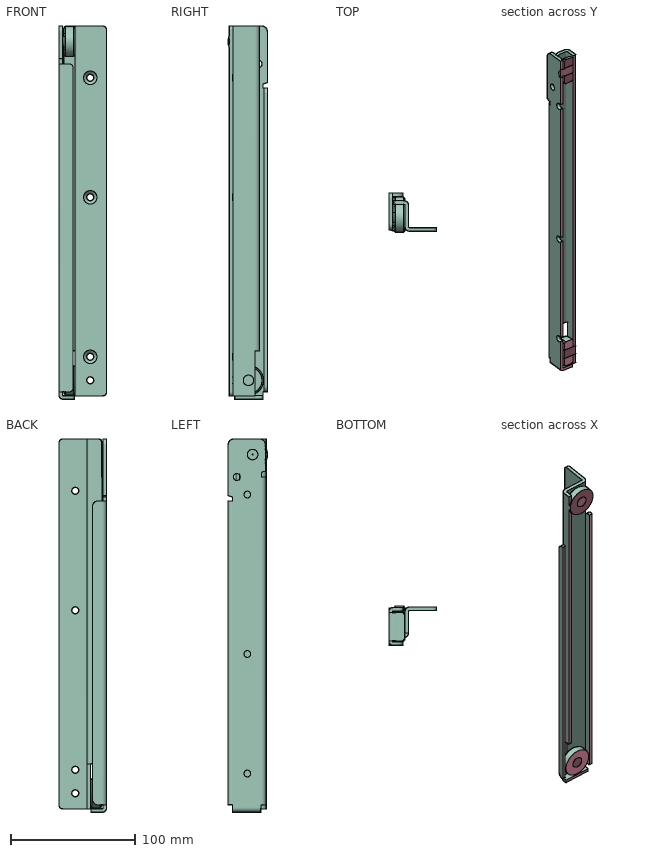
import cadquery as cq

LENGTH = 300.0
SHEET = 3.0
BEND = 3.5
INNER_BEND = BEND - SHEET
HOLE_RADIUS = 2.7
OVERSHOOT = 3.0

CHANNEL_FRONT = 1.2
CHANNEL_BACK = 31.8
FLANGE_REACH = 11.5
FRONT_FLANGE_CORNER = 3.0
BACK_FLANGE_CORNER = 4.5
FLANGE_BOTTOM = 6.0
FRONT_FLANGE_TOP = 269.5
BACK_FLANGE_TOP = 250.2
WEB_HEAD_FRONT = 1.8
WEB_CORNER = 4.8
FRONT_RELIEF_HEIGHT = 4.5
BACK_RELIEF_HEIGHT = 3.5
FRONT_RELIEF_Y = 4.8
FRONT_RELIEF_CORNER = 1.8
BACK_RELIEF_Y = 28.2
BACK_RELIEF_FLARE = 1.2
TAB_FRONT = 5.5
TAB_BACK = 28.2
TAB_REACH = 12.5
TAB_CORNER = 2.5
WEB_HOLE_Y = 16.2
WEB_HOLE_ZS = (31.2, 127.2, 255.3)
GAUGE_HOLE_YZ = (24.5, 269.5)

ANGLE_FRONT = 1.0
ANGLE_BACK = 25.5
ANGLE_BOTTOM = 2.7
ANGLE_WEB_X = 13.0
ANGLE_RIGHT = 38.5
ANGLE_CORNER = 3.0
GUIDE_EDGE_X = 4.0
GUIDE_CORNER = 2.5
GUIDE_BOTTOM = 39.0
SCREW_X = 25.2
SCREW_ZS = (34.2, 162.3, 258.3)
COUNTERSINK_RADIUS = 5.5
PIN_HOLE_Z = 15.3

ROLLER_RADIUS = 12.0
ROLLER_BEVEL = 1.2
AXLE_RADIUS = 4.2
CENTER_MARK_RADIUS = 0.3
CENTER_MARK_DEPTH = 0.5
ROLLER_LEFT = 4.2
UPPER_ROLLER_YZ = (ROLLER_RADIUS, 287.5)
LOWER_ROLLER_YZ = (16.5, PIN_HOLE_Z)
RELIEF_CLEARANCE = 0.3


def box(x0, x1, y0, y1, z0, z1):
    return cq.Workplane("XY").box(x1 - x0, y1 - y0, z1 - z0, centered=False).translate((x0, y0, z0))


def x_cylinder(radius, y, z, x0, x1):
    return cq.Workplane("YZ", origin=(x0, 0, 0)).center(y, z).circle(radius).extrude(x1 - x0)


def bent_flange(outer_y, inward, z0, z1, corner_radius):
    """Channel flange with its bend; `inward` is the Y direction towards the channel middle."""
    web_y = outer_y + inward * BEND
    inner_y = outer_y + inward * SHEET
    flange = (
        cq.Workplane("XY", origin=(0, 0, z0))
        .moveTo(0, web_y)
        .radiusArc((BEND, outer_y), -inward * BEND)
        .lineTo(FLANGE_REACH, outer_y)
        .lineTo(FLANGE_REACH, inner_y)
        .lineTo(BEND, inner_y)
        .radiusArc((SHEET, web_y), inward * INNER_BEND)
        .close()
        .extrude(z1 - z0)
    )
    return flange.edges("|Y and >X").fillet(corner_radius)


def channel_web():
    """Flat web: wide head above the flanges, narrower between the bends and at the end tab."""
    body_front = CHANNEL_FRONT + BEND
    head = box(0, SHEET, WEB_HEAD_FRONT, CHANNEL_BACK, BACK_FLANGE_TOP, LENGTH)
    head = head.edges("|X and >Z").fillet(WEB_CORNER)
    head = head.cut(box(0, SHEET, 0, body_front, 0, FRONT_FLANGE_TOP))
    body_back = CHANNEL_BACK - BEND
    body = box(0, SHEET, body_front, body_back, FLANGE_BOTTOM, BACK_FLANGE_TOP)
    foot = box(0, SHEET, TAB_FRONT, TAB_BACK, BEND, FLANGE_BOTTOM)
    return head.union(body).union(foot)


def end_tab():
    """Tab bent across the lower end of the channel."""
    tab = (
        cq.Workplane("XZ", origin=(0, TAB_BACK, 0))
        .moveTo(0, BEND)
        .radiusArc((BEND, 0), -BEND)
        .lineTo(TAB_REACH, 0)
        .lineTo(TAB_REACH, SHEET)
        .lineTo(BEND, SHEET)
        .radiusArc((SHEET, BEND), INNER_BEND)
        .close()
        .extrude(TAB_BACK - TAB_FRONT)
    )
    return tab.edges("|Z and >X").fillet(TAB_CORNER)


def front_relief():
    """Notch that separates the web head from the front flange, rounded at its inner upper corner."""
    z0 = FRONT_FLANGE_TOP
    z1 = FRONT_FLANGE_TOP + FRONT_RELIEF_HEIGHT
    relief = box(-OVERSHOOT, BEND, -OVERSHOOT, FRONT_RELIEF_Y, z0, z1)
    return relief.edges("|X and >Y and >Z").fillet(FRONT_RELIEF_CORNER)


def back_relief():
    """Notch that separates the web head from the back flange, flared at its mouth."""
    z0 = BACK_FLANGE_TOP
    z1 = BACK_FLANGE_TOP + BACK_RELIEF_HEIGHT
    return (
        cq.Workplane("YZ", origin=(-OVERSHOOT, 0, 0))
        .moveTo(BACK_RELIEF_Y, z0)
        .lineTo(CHANNEL_BACK, z0)
        .lineTo(CHANNEL_BACK, z1 + BACK_RELIEF_FLARE / 2)
        .lineTo(BACK_RELIEF_Y, z1 - BACK_RELIEF_FLARE / 2)
        .close()
        .extrude(SHEET + 2 * OVERSHOOT)
    )


def make_channel():
    """Channel rail with its web holes and the hole of the upper axle."""
    front_flange = bent_flange(CHANNEL_FRONT, 1, FLANGE_BOTTOM, FRONT_FLANGE_TOP, FRONT_FLANGE_CORNER)
    back_flange = bent_flange(CHANNEL_BACK, -1, FLANGE_BOTTOM, BACK_FLANGE_TOP, BACK_FLANGE_CORNER)
    channel = channel_web().union(front_flange).union(back_flange).union(end_tab())
    channel = channel.cut(front_relief()).cut(back_relief())
    holes = [(WEB_HOLE_Y, z) for z in WEB_HOLE_ZS] + [GAUGE_HOLE_YZ]
    for y, z in holes:
        channel = channel.cut(x_cylinder(HOLE_RADIUS, y, z, -OVERSHOOT, SHEET + OVERSHOOT))
    return channel.cut(x_cylinder(AXLE_RADIUS, *UPPER_ROLLER_YZ, -OVERSHOOT, SHEET + OVERSHOOT))


def guide_flange():
    """Flange at the +Y end of the angle web, bent towards -X and relieved around the upper roller."""
    web_right = ANGLE_WEB_X + SHEET
    bend_x = web_right - BEND
    bend_y = ANGLE_BACK - BEND
    inner_y = ANGLE_BACK - SHEET
    flange = (
        cq.Workplane("XY", origin=(0, 0, GUIDE_BOTTOM))
        .moveTo(web_right, bend_y)
        .radiusArc((bend_x, ANGLE_BACK), -BEND)
        .lineTo(GUIDE_EDGE_X, ANGLE_BACK)
        .lineTo(GUIDE_EDGE_X, inner_y)
        .lineTo(bend_x, inner_y)
        .radiusArc((ANGLE_WEB_X, bend_y), INNER_BEND)
        .close()
        .extrude(LENGTH - GUIDE_BOTTOM)
    )
    flange = flange.edges("|Y and <X").fillet(GUIDE_CORNER)
    relief_radius = ROLLER_RADIUS + RELIEF_CLEARANCE
    return flange.cut(x_cylinder(relief_radius, *UPPER_ROLLER_YZ, 0, ANGLE_WEB_X))


def mounting_flange():
    """Flange at the -Y end of the angle web, bent towards +X, with screw and pin holes."""
    bend_x = ANGLE_WEB_X + BEND
    bend_y = ANGLE_FRONT + BEND
    inner_y = ANGLE_FRONT + SHEET
    flange = (
        cq.Workplane("XY", origin=(0, 0, ANGLE_BOTTOM))
        .moveTo(ANGLE_WEB_X, bend_y)
        .radiusArc((bend_x, ANGLE_FRONT), -BEND)
        .lineTo(ANGLE_RIGHT, ANGLE_FRONT)
        .lineTo(ANGLE_RIGHT, inner_y)
        .lineTo(bend_x, inner_y)
        .radiusArc((ANGLE_WEB_X + SHEET, bend_y), INNER_BEND)
        .close()
        .extrude(LENGTH - ANGLE_BOTTOM)
    )
    flange = flange.edges("|Y and >X").fillet(ANGLE_CORNER)
    front_face = cq.Workplane("XZ", origin=(0, ANGLE_FRONT, 0))
    bores = front_face.pushPoints([(SCREW_X, z) for z in (PIN_HOLE_Z, *SCREW_ZS)])
    flange = flange.cut(bores.circle(HOLE_RADIUS).extrude(-SHEET))
    for z in SCREW_ZS:
        cone = cq.Solid.makeCone(
            COUNTERSINK_RADIUS, HOLE_RADIUS, COUNTERSINK_RADIUS - HOLE_RADIUS,
            pnt=cq.Vector(SCREW_X, ANGLE_FRONT, z), dir=cq.Vector(0, 1, 0),
        )
        flange = flange.cut(cq.Workplane(cone))
    return flange


def make_angle():
    """Angle rail with the hole of the lower axle."""
    web_right = ANGLE_WEB_X + SHEET
    web = box(ANGLE_WEB_X, web_right, ANGLE_FRONT + BEND, ANGLE_BACK - BEND, ANGLE_BOTTOM, LENGTH)
    angle = web.union(guide_flange()).union(mounting_flange())
    return angle.cut(x_cylinder(AXLE_RADIUS, *LOWER_ROLLER_YZ, ANGLE_WEB_X, web_right))


def make_roller(y, z):
    """Bevelled roller bored for its axle, centered on the given Y and Z."""
    roller = x_cylinder(ROLLER_RADIUS, y, z, ROLLER_LEFT, ANGLE_WEB_X).edges().chamfer(ROLLER_BEVEL)
    return roller.cut(x_cylinder(AXLE_RADIUS, y, z, ROLLER_LEFT, ANGLE_WEB_X))


def make_upper_axle():
    """Axle flush with the channel web and the upper roller, with a center mark in its outer end."""
    axle = x_cylinder(AXLE_RADIUS, *UPPER_ROLLER_YZ, 0, ANGLE_WEB_X)
    return axle.cut(x_cylinder(CENTER_MARK_RADIUS, *UPPER_ROLLER_YZ, 0, CENTER_MARK_DEPTH))


def make_lower_axle():
    """Axle flush with the lower roller and the angle web."""
    return x_cylinder(AXLE_RADIUS, *LOWER_ROLLER_YZ, ROLLER_LEFT, ANGLE_WEB_X + SHEET)


channel = make_channel()
angle = make_angle()
rollers = [make_roller(*place) for place in (UPPER_ROLLER_YZ, LOWER_ROLLER_YZ)]
upper_axle = make_upper_axle()
lower_axle = make_lower_axle()

bodies = [channel, angle, *rollers, upper_axle, lower_axle]
result = cq.Compound.makeCompound([body.val() for body in bodies])